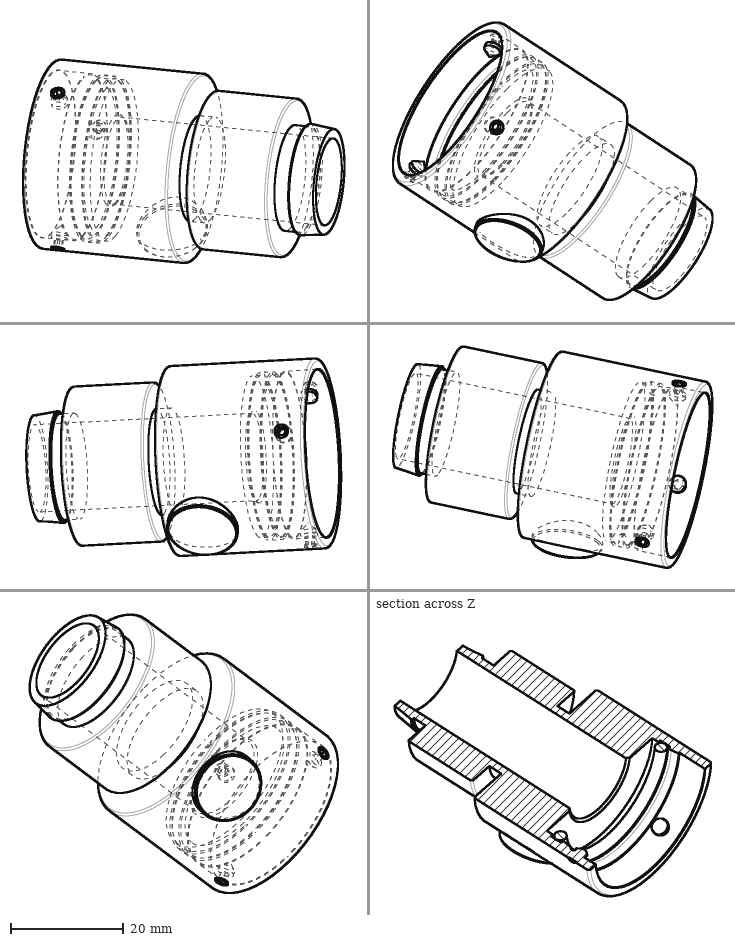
import cadquery as cq
import math

total_length = 52.0
head_length = 27.05
collar_start = 29.75
collar_end = 44.75
cone_start = 47.4
floor_position = 11.9
step_position = 6.0
lip_start = 7.5

head_diameter = 34.0
neck_diameter = 19.0
collar_diameter = 28.5
cone_diameter = 20.0
socket_diameter = 30.0
step_diameter = 29.55
lip_diameter = 29.0
bore_diameter = 15.6

head_front_rounding = 0.45
head_back_rounding = 0.35
collar_rounding = 0.35
cone_chamfer = 0.25
bore_rounding = 0.45
mouth_chamfer = 0.1

ring_inner_diameter = 25.5
ring_outer_diameter = socket_diameter
ring_section = (ring_outer_diameter - ring_inner_diameter) / 2
groove_start = 8.2
groove_end = groove_start + ring_section

screw_count = 3
screw_position = 3.95
screw_diameter = 3.0
screw_tip_radius = 12.75
screw_hole_diameter = 2.45
screw_face_radius = 16.85
hex_corner_diameter = 1.65
hex_depth = 1.55

button_position = 20.0
button_diameter = 12.7
button_face_radius = 17.95
button_chamfer = 0.25
button_angle = -60.0


def radial_plane(position, angle, radius):
    """Plane facing outward at an angle from +Y towards +Z, its local X along the part's X axis."""
    y = math.cos(math.radians(angle))
    z = math.sin(math.radians(angle))
    return cq.Plane(origin=(position, radius * y, radius * z), xDir=(1, 0, 0), normal=(0, y, z))


def cylinder(start, end, diameter):
    return cq.Workplane("YZ", origin=(start, 0, 0)).circle(diameter / 2).extrude(end - start)


def revolve_about_x(outline):
    return outline.close().revolve(360, (0, 0, 0), (1, 0, 0))


def make_outer_shape():
    head = cylinder(0, head_length, head_diameter)
    head = head.faces("<X").fillet(head_front_rounding).faces(">X").fillet(head_back_rounding)
    neck = cylinder(head_length, cone_start, neck_diameter)
    collar = cylinder(collar_start, collar_end, collar_diameter).faces("<X or >X").fillet(collar_rounding)
    cone = revolve_about_x(
        cq.Workplane("XY")
        .moveTo(cone_start, 0)
        .lineTo(cone_start, cone_diameter / 2 - cone_chamfer)
        .lineTo(cone_start + cone_chamfer, cone_diameter / 2)
        .lineTo(total_length, neck_diameter / 2)
        .lineTo(total_length, 0)
    )
    return head.union(neck).union(collar).union(cone)


def make_button():
    """Round button on the side of the head, running in to the axis before the cavity is cut."""
    plane = radial_plane(button_position, button_angle, 0)
    button = cq.Workplane(plane).circle(button_diameter / 2).extrude(button_face_radius)
    return button.faces(cq.DirectionMinMaxSelector(plane.zDir)).chamfer(button_chamfer)


def make_cavity():
    """Stepped socket, lip, ring groove and through bore as one turned shape."""
    bore_radius = bore_diameter / 2
    return revolve_about_x(
        cq.Workplane("XY")
        .moveTo(0, 0)
        .lineTo(0, socket_diameter / 2 + mouth_chamfer)
        .lineTo(mouth_chamfer, socket_diameter / 2)
        .lineTo(step_position, socket_diameter / 2)
        .lineTo(step_position, step_diameter / 2)
        .lineTo(lip_start, lip_diameter / 2)
        .lineTo(groove_start, lip_diameter / 2)
        .lineTo(groove_start, ring_outer_diameter / 2)
        .lineTo(groove_end, ring_outer_diameter / 2)
        .lineTo(groove_end, lip_diameter / 2)
        .lineTo(floor_position, lip_diameter / 2)
        .lineTo(floor_position, bore_radius + bore_rounding)
        .radiusArc((floor_position + bore_rounding, bore_radius), bore_rounding)
        .lineTo(total_length, bore_radius)
        .lineTo(total_length, 0)
    )


def make_screw_point(angle):
    """Screw end standing inside the socket: a short shank and a 90 degree cone."""
    wall_middle = (head_diameter + socket_diameter) / 4
    screw_radius = screw_diameter / 2
    return (
        cq.Workplane("XY", origin=(screw_position, 0, 0))
        .moveTo(0, wall_middle)
        .lineTo(screw_radius, wall_middle)
        .lineTo(screw_radius, screw_tip_radius + screw_radius)
        .lineTo(0, screw_tip_radius)
        .close()
        .revolve(360, (0, 0, 0), (0, 1, 0))
        .rotate((0, 0, 0), (1, 0, 0), angle)
    )


def make_screw_recess(angle):
    """Shallow round seat in the head's outside, with a hex socket in its floor."""
    plane = radial_plane(screw_position, angle, screw_face_radius)
    seat = cq.Workplane(plane).circle(screw_hole_diameter / 2).extrude(head_diameter / 2)
    hex_socket = cq.Workplane(plane).polygon(6, hex_corner_diameter).extrude(-hex_depth)
    return seat.union(hex_socket)


def make_housing():
    outer_shape = make_outer_shape().rotate((0, 0, 0), (1, 0, 0), 180)
    cavity = make_cavity().rotate((0, 0, 0), (1, 0, 0), 180)
    housing = outer_shape.union(make_button()).cut(cavity)
    for index in range(screw_count):
        angle = index * 360 / screw_count
        housing = housing.union(make_screw_point(angle)).cut(make_screw_recess(angle))
    return housing


def make_sealing_ring():
    center_radius = (ring_outer_diameter - ring_section) / 2
    return cq.Workplane(
        cq.Solid.makeTorus(
            center_radius,
            ring_section / 2,
            cq.Vector(groove_start + ring_section / 2, 0, 0),
            cq.Vector(1, 0, 0),
        )
    )


housing = make_housing()
sealing_ring = make_sealing_ring()

result = cq.Compound.makeCompound([housing.val(), sealing_ring.val()])